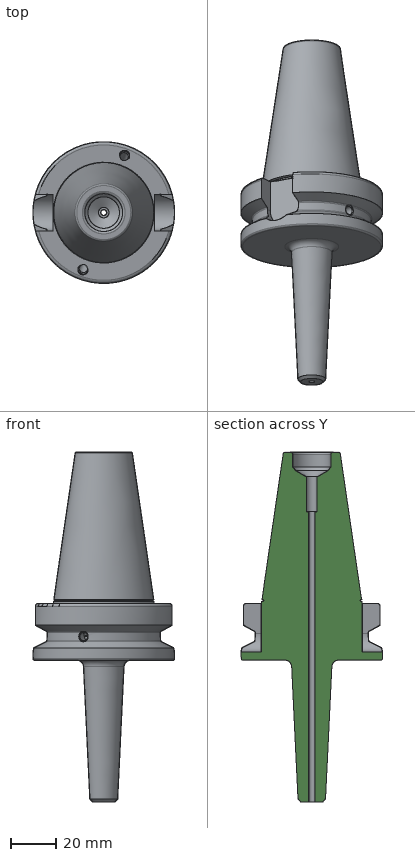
import cadquery as cq
import math

TOTAL_LENGTH = 155.4

TAPER_LENGTH = 65.5
TAPER_BASE_R = 22.2
TAPER_SLOPE = 7 / 48
TAPER_EDGE_FILLET = 0.8
GAUGE_Z = TOTAL_LENGTH - TAPER_LENGTH
TAPER_TOP_R = TAPER_BASE_R - TAPER_LENGTH * TAPER_SLOPE

RELIEF_R = 21.5
RELIEF_HALF_WIDTH = 0.5
COLLAR_R = 22.4

FLANGE_DIAMETER = 63.0
FLANGE_R = FLANGE_DIAMETER / 2
GAUGE_GAP = 1.7
FLANGE_THICKNESS = 25.3
FLANGE_TOP_Z = GAUGE_Z - GAUGE_GAP
FLANGE_BOTTOM_Z = FLANGE_TOP_Z - FLANGE_THICKNESS
FLANGE_TOP_FILLET = 1.4
FLANGE_BOTTOM_FILLET = 0.8
GROOVE_R = 26.4
GROOVE_DROP = 14.8
GROOVE_Z = FLANGE_TOP_Z - GROOVE_DROP
GROOVE_FLOOR_WIDTH = 4.2
GROOVE_ROOT_FILLET = 0.6
GROOVE_SIDE_SLOPE = math.radians(30)
GROOVE_SIDE_RISE = (FLANGE_R - GROOVE_R) * math.tan(GROOVE_SIDE_SLOPE)

NOSE_BASE_R = 9.2
NOSE_FILLET = 3.0
NOSE_TIP_R = 6.2
NOSE_TIP_CHAMFER = 1.2

MOUTH_FILLET = 1.1
BORE_R = 8.4
BORE_DEPTH = 6.7
FLOOR_R = 7.0
FLOOR_STEP = 1.5
FLOOR_SLOPE = math.radians(30)
PILOT_R = 2.3
PILOT_DEPTH = 15.5
THROUGH_R = 1.2

SLOT_WIDTH = 16.2
SLOT_FLOOR_X = 22.5
SLOT_BOTTOM_Z = 66.7

COOLANT_ANGLE = 20.0
COOLANT_R = 26.7
COOLANT_HOLE_R = 2.3
COOLANT_BORE_R = 1.9
COOLANT_CHAMFER = 0.5
COOLANT_TILT = 25.0


def edges_at(body, *circles):
    """Pick the circular edges about Z given as (radius, height) pairs."""
    tolerance = 0.02
    picked = [
        edge
        for edge in body.edges("%CIRCLE").vals()
        if any(
            abs(edge.radius() - radius) < tolerance and abs(edge.Center().z - height) < tolerance
            for radius, height in circles
        )
    ]
    return body.newObject(picked)


def make_body():
    """Revolve the outer outline about Z, then round its corners."""
    groove_low_z = GROOVE_Z - GROOVE_FLOOR_WIDTH / 2
    groove_high_z = GROOVE_Z + GROOVE_FLOOR_WIDTH / 2
    relief_z = GAUGE_Z - RELIEF_HALF_WIDTH
    body = (
        cq.Workplane("XZ")
        .moveTo(0, 0)
        .lineTo(NOSE_TIP_R - NOSE_TIP_CHAMFER, 0)
        .lineTo(NOSE_TIP_R, NOSE_TIP_CHAMFER)
        .lineTo(NOSE_BASE_R, FLANGE_BOTTOM_Z)
        .lineTo(FLANGE_R, FLANGE_BOTTOM_Z)
        .lineTo(FLANGE_R, groove_low_z - GROOVE_SIDE_RISE)
        .lineTo(GROOVE_R, groove_low_z)
        .lineTo(GROOVE_R, groove_high_z)
        .lineTo(FLANGE_R, groove_high_z + GROOVE_SIDE_RISE)
        .lineTo(FLANGE_R, FLANGE_TOP_Z)
        .lineTo(COLLAR_R, FLANGE_TOP_Z)
        .lineTo(COLLAR_R, relief_z - RELIEF_HALF_WIDTH)
        .lineTo(RELIEF_R, relief_z)
        .lineTo(TAPER_BASE_R, GAUGE_Z)
        .lineTo(TAPER_TOP_R, TOTAL_LENGTH)
        .lineTo(0, TOTAL_LENGTH)
        .close()
        .revolve(360, (0, 0, 0), (0, 1, 0))
    )
    body = edges_at(body, (TAPER_TOP_R, TOTAL_LENGTH)).fillet(TAPER_EDGE_FILLET)
    body = edges_at(body, (FLANGE_R, FLANGE_TOP_Z)).fillet(FLANGE_TOP_FILLET)
    body = edges_at(body, (FLANGE_R, FLANGE_BOTTOM_Z)).fillet(FLANGE_BOTTOM_FILLET)
    body = edges_at(body, (GROOVE_R, groove_low_z), (GROOVE_R, groove_high_z)).fillet(GROOVE_ROOT_FILLET)
    return edges_at(body, (NOSE_BASE_R, FLANGE_BOTTOM_Z)).fillet(NOSE_FILLET)


def cut_bore(body):
    """Cut the stepped bore from the top face, with a hole through to the tip, and round its mouth."""
    bore_end_z = TOTAL_LENGTH - BORE_DEPTH
    floor_z = bore_end_z - FLOOR_STEP
    cone_end_z = floor_z - (FLOOR_R - PILOT_R) * math.tan(FLOOR_SLOPE)
    pilot_end_z = cone_end_z - PILOT_DEPTH
    bore = (
        cq.Workplane("XZ")
        .moveTo(0, 0)
        .lineTo(THROUGH_R, 0)
        .lineTo(THROUGH_R, pilot_end_z)
        .lineTo(PILOT_R, pilot_end_z)
        .lineTo(PILOT_R, cone_end_z)
        .lineTo(FLOOR_R, floor_z)
        .lineTo(BORE_R, bore_end_z)
        .lineTo(BORE_R, TOTAL_LENGTH)
        .lineTo(0, TOTAL_LENGTH)
        .close()
        .revolve(360, (0, 0, 0), (0, 1, 0))
    )
    return edges_at(body.cut(bore), (BORE_R, TOTAL_LENGTH)).fillet(MOUTH_FILLET)


def make_key_slot():
    """Round-bottomed slot on the +X side, open at the top and outside."""
    half_width = SLOT_WIDTH / 2
    center_z = SLOT_BOTTOM_Z + half_width
    return (
        cq.Workplane("YZ", origin=(SLOT_FLOOR_X, 0, 0))
        .moveTo(half_width, FLANGE_TOP_Z)
        .lineTo(half_width, center_z)
        .threePointArc((0, SLOT_BOTTOM_Z), (-half_width, center_z))
        .lineTo(-half_width, FLANGE_TOP_Z)
        .close()
        .extrude(FLANGE_R - SLOT_FLOOR_X)
    )


def chamfered_hole(mouth, direction, depth):
    """Round hole with a chamfered mouth; it also runs outward to clear the surface around it."""
    outside = mouth - direction * COOLANT_HOLE_R
    lead_in = cq.Solid.makeCylinder(COOLANT_HOLE_R, COOLANT_HOLE_R, outside, direction)
    chamfer = cq.Solid.makeCone(COOLANT_HOLE_R, COOLANT_BORE_R, COOLANT_CHAMFER, mouth, direction)
    bore = cq.Solid.makeCylinder(COOLANT_BORE_R, depth, mouth, direction)
    return lead_in.fuse(chamfer, bore)


def make_coolant_holes():
    """Inclined hole in the flange top and a radial hole in the groove, meeting on the -Y side."""
    tilt = math.radians(COOLANT_TILT)
    inclined = chamfered_hole(
        cq.Vector(0, -COOLANT_R, FLANGE_TOP_Z),
        cq.Vector(0, math.sin(tilt), -math.cos(tilt)),
        GROOVE_DROP / math.cos(tilt),
    )
    radial = chamfered_hole(
        cq.Vector(0, -GROOVE_R, GROOVE_Z),
        cq.Vector(0, 1, 0),
        GROOVE_R - COOLANT_R + GROOVE_DROP * math.tan(tilt),
    )
    return cq.Workplane(inclined.fuse(radial)).rotate((0, 0, 0), (0, 0, 1), -COOLANT_ANGLE)


result = cut_bore(make_body())
for turn in (0, 180):
    for feature in (make_key_slot(), make_coolant_holes()):
        result = result.cut(feature.rotate((0, 0, 0), (0, 0, 1), turn))